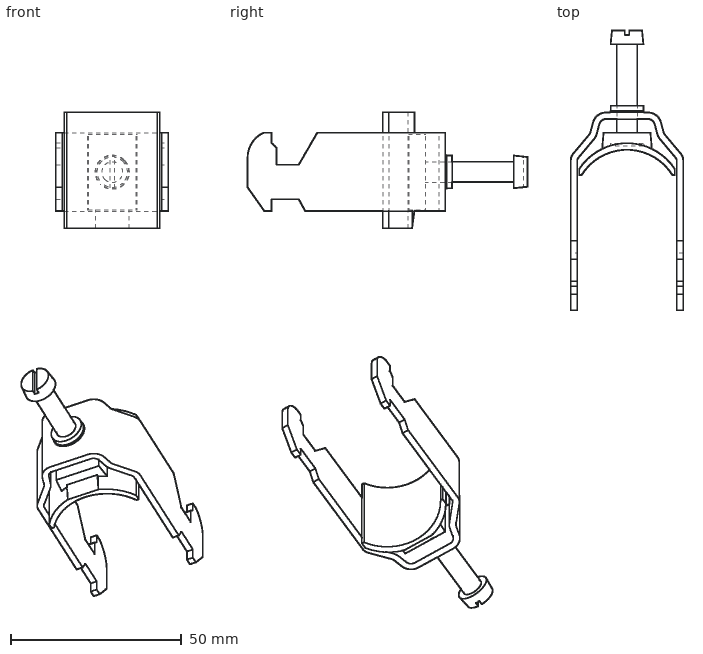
import cadquery as cq
import math


sheet = 2.0
strap_half_width = 16.5
strap_half_height = 11.5
arm_length = 58.0
shoulder_half_width = 9.2
shoulder_angle = 15.0
waist_depth = 6.2
flank_angle = 40.0
shoulder_radius = 4.0
waist_radius = 2.0
elbow_radius = 3.0

neck_start = 43.0
neck_top = 2.1
neck_bottom = -8.0
top_edge_end = 37.55
bottom_edge_end = 41.1
throat_end = 49.45
barb_back = 50.9
barb_low = 7.05
barb_high = 8.5
nose_top_start = 53.3
nose_arc_end = 4.1
nose_arc_radius = 8.2
nose_flat_end = -4.5
nose_bottom_start = 53.05

saddle_half_width = 14.0
saddle_top = 17.5
saddle_bottom = -16.6
saddle_crest = 9.0
saddle_outer_edge = 16.6
saddle_end = 18.4
saddle_lip = 0.7
pad_back = 5.9
pad_back_half_width = 6.9
pad_front_half_width = 7.4
pad_front = 11.5
pad_half_height = 11.1
ramp_foot = 9.75

screw_radius = 3.0
screw_end = 24.0
head_height = 4.1
head_top_radius = 4.4
head_base_radius = 4.8
slot_width = 1.2
slot_depth = 1.3
collar_radius = 4.8
collar_height = 2.0
collar_flare_height = 0.4
collar_flare_radius = 5.0


def centered_block(x_size, y_front, y_back, z_size):
    """Block centred on the Y axis between two Y positions."""
    return cq.Workplane("XY").box(x_size, y_back - y_front, z_size).translate((0, (y_front + y_back) / 2, 0))


def make_band():
    """Bent strap of full height, before the arm ends are shaped."""
    waist_half_width = shoulder_half_width + waist_depth * math.tan(math.radians(shoulder_angle))
    flank_run = strap_half_width - waist_half_width
    elbow_depth = waist_depth + flank_run / math.tan(math.radians(flank_angle))
    closed_end = arm_length + 2 * sheet
    right_side = [
        (shoulder_half_width, 0),
        (waist_half_width, -waist_depth),
        (strap_half_width, -elbow_depth),
        (strap_half_width, -closed_end),
    ]
    left_side = [(-x, y) for x, y in reversed(right_side)]
    outer = (
        cq.Workplane("XY")
        .workplane(offset=-strap_half_height)
        .polyline(right_side + left_side)
        .close()
        .extrude(2 * strap_half_height)
    )
    bends = zip(right_side, (shoulder_radius, waist_radius, elbow_radius))
    for (x, y), radius in bends:
        for side in (-1, 1):
            corner = cq.selectors.NearestToPointSelector((side * x, y, 0))
            outer = outer.edges("|Z").edges(corner).fillet(radius)
    inner = outer.faces("<Z").wires().toPending().offset2D(-sheet).extrude(2 * strap_half_height, combine=False)
    return outer.cut(inner)


def make_arm_profile():
    """Side shape of the strap, extruded across its whole width."""
    arc_center = arm_length - nose_arc_radius
    half_angle = math.asin((strap_half_height - nose_arc_end) / nose_arc_radius) / 2
    arc_mid = (
        -arc_center - nose_arc_radius * math.cos(half_angle),
        nose_arc_end + nose_arc_radius * math.sin(half_angle),
    )
    return (
        cq.Workplane("YZ")
        .moveTo(0, strap_half_height)
        .lineTo(-top_edge_end, strap_half_height)
        .lineTo(-neck_start, neck_top)
        .lineTo(-throat_end, neck_top)
        .lineTo(-throat_end, barb_low)
        .lineTo(-barb_back, barb_high)
        .lineTo(-barb_back, strap_half_height)
        .lineTo(-nose_top_start, strap_half_height)
        .threePointArc(arc_mid, (-arm_length, nose_arc_end))
        .lineTo(-arm_length, nose_flat_end)
        .lineTo(-nose_bottom_start, -strap_half_height)
        .lineTo(-barb_back, -strap_half_height)
        .lineTo(-barb_back, neck_bottom)
        .lineTo(-neck_start, neck_bottom)
        .lineTo(-bottom_edge_end, -strap_half_height)
        .lineTo(0, -strap_half_height)
        .close()
        .extrude(strap_half_width, both=True)
    )


def rod(radius, start, end):
    """Cylinder along Y between two Y positions."""
    return cq.Workplane("XZ", origin=(0, start, 0)).circle(radius).extrude(start - end)


def make_strap():
    """Bent strap with hooked arms and a hole for the screw."""
    screw_hole = rod(screw_radius, -sheet, 0)
    return make_band().intersect(make_arm_profile()).cut(screw_hole)


def make_collar():
    """Round nut on the strap's back face, flared at its foot."""
    return (
        cq.Workplane("XY")
        .moveTo(screw_radius, 0)
        .lineTo(collar_flare_radius, 0)
        .lineTo(collar_radius, collar_flare_height)
        .lineTo(collar_radius, collar_height)
        .lineTo(screw_radius, collar_height)
        .close()
        .revolve(360, (0, 0, 0), (0, 1, 0))
    )


def make_screw():
    """Slotted screw whose tip rests on the saddle's pad."""
    head_base = screw_end - head_height
    body = (
        cq.Workplane("XY")
        .moveTo(0, -pad_back)
        .lineTo(screw_radius, -pad_back)
        .lineTo(screw_radius, head_base)
        .lineTo(head_base_radius, head_base)
        .lineTo(head_top_radius, screw_end)
        .lineTo(0, screw_end)
        .close()
        .revolve(360, (0, 0, 0), (0, 1, 0))
    )
    slot = centered_block(slot_width, screw_end - slot_depth, screw_end, 2 * head_base_radius)
    return body.cut(slot)


def ramp_width():
    """Width of the arch's back where it has fallen to the foot of the ramp."""
    edge_drop = saddle_outer_edge - saddle_crest
    arch_radius = (saddle_half_width**2 + edge_drop**2) / (2 * edge_drop)
    foot_drop = ramp_foot - saddle_crest
    return 2 * math.sqrt(2 * arch_radius * foot_drop - foot_drop**2)


def add_ramp(plate):
    """Replace the arch's crest below the pad with a flat that slopes down to the bottom edge."""
    width = ramp_width()
    crest = (
        centered_block(width, -ramp_foot, -saddle_crest, -pad_half_height - saddle_bottom)
        .translate((0, 0, (saddle_bottom - pad_half_height) / 2))
    )
    wedge = (
        cq.Workplane("YZ")
        .moveTo(-ramp_foot, saddle_bottom)
        .lineTo(-saddle_crest, -pad_half_height)
        .lineTo(-ramp_foot, -pad_half_height)
        .close()
        .extrude(width / 2, both=True)
    )
    return plate.cut(crest).union(wedge)


def make_saddle():
    """Arched plate with a ramp and a tapered pad on its back."""
    inner_crest = saddle_crest + sheet
    lip_x = saddle_half_width - saddle_lip
    plate = (
        cq.Workplane("XY")
        .workplane(offset=saddle_bottom)
        .moveTo(-saddle_half_width, -saddle_outer_edge)
        .threePointArc((0, -saddle_crest), (saddle_half_width, -saddle_outer_edge))
        .lineTo(saddle_half_width, -saddle_end)
        .lineTo(lip_x, -saddle_end)
        .threePointArc((0, -inner_crest), (-lip_x, -saddle_end))
        .lineTo(-saddle_half_width, -saddle_end)
        .close()
        .extrude(saddle_top - saddle_bottom)
    )
    pad = (
        cq.Workplane("XY")
        .workplane(offset=-pad_half_height)
        .moveTo(-pad_back_half_width, -pad_back)
        .lineTo(pad_back_half_width, -pad_back)
        .lineTo(pad_front_half_width, -pad_front)
        .threePointArc((0, -saddle_crest - sheet / 2), (-pad_front_half_width, -pad_front))
        .close()
        .extrude(2 * pad_half_height)
    )
    return add_ramp(plate).union(pad)


strap = make_strap()
collar = make_collar()
screw = make_screw()
saddle = make_saddle()

result = cq.Compound.makeCompound([strap.val(), collar.val(), screw.val(), saddle.val()])